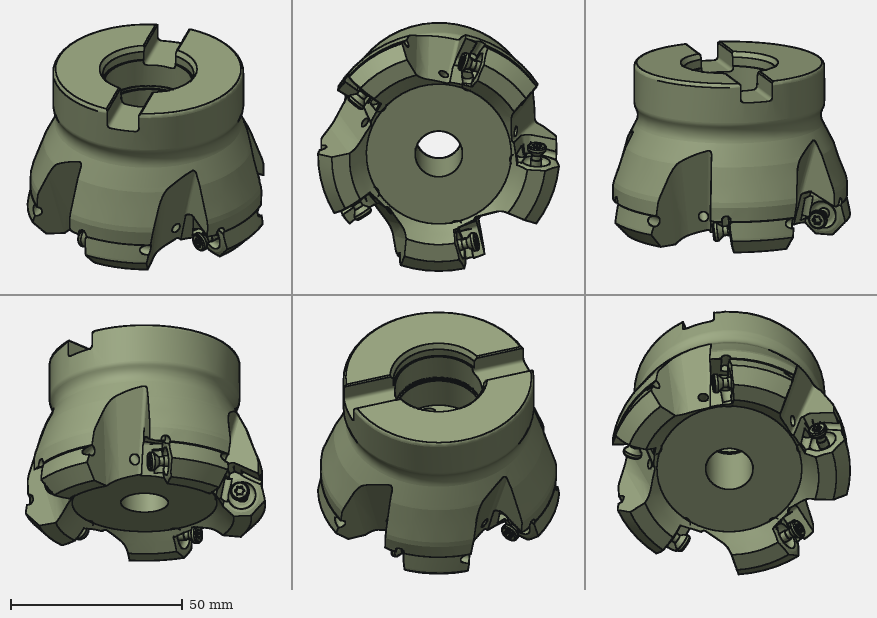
import cadquery as cq
import math

TEETH = 5
TOOTH_PITCH = 360 / TEETH
FIRST_TOOTH_ANGLE = 180

HEIGHT = 49.6
COLLAR_DIAMETER = 55.55
COLLAR_R = COLLAR_DIAMETER / 2
COLLAR_EDGE_R = 27.0
EDGE_ARC_SAG = 0.25
COLLAR_EDGE_HEIGHT = 1.1
COLLAR_EDGE_Z = HEIGHT - COLLAR_EDGE_HEIGHT
COLLAR_BOTTOM_Z = 37.95
COLLAR_FOOT_R = 27.45
COLLAR_FOOT_Z = 36.7
NECK_R = 26.75
NECK_Z = 34.35
SHOULDER_R = 27.25
SHOULDER_Z = 31.75
FLARE_TOP_R = 29.9
FLARE_TOP_Z = 26.5
FLARE_R = 30.5
FLARE_Z = 25.35
SKIRT_TOP_R = 34.0
SKIRT_TOP_Z = 15.55
SKIRT_R = 34.35
SKIRT_Z = 14.1
LEDGE_TOP_Z = 9.9
LEDGE_SIZE = 0.2
RIM_DIAMETER = 70.5
RIM_R = RIM_DIAMETER / 2
RIM_Z = 4.3
RIM_TOP_R = 35.1
RIM_TOP_Z = 5.1
FOOT_R = 31.2

BORE_MOUTH_R = 14.2
BORE_ENTRY_R = 13.2
BORE_ENTRY_CHAMFER = 1.5
BORE_ENTRY_DEPTH = 4.1
BORE_R = 12.75
LOWER_BORE_R = 12.45
BORE_FLOOR_Z = 26.05
GROOVE_R = 13.1
GROOVE_Z = 36.95
GROOVE_WIDTH = 1.0
BOLT_HOLE_R = 6.9
BOLT_HOLE_CHAMFER = 0.3
RECESS_MOUTH_R = 26.05
RECESS_ROOF_R = 21.1
RECESS_DEPTH = 4.9
SLOT_WIDTH = 9.6
SLOT_DEPTH = 5.7
SLOT_CORNER_R = 1.1
SLOT_EDGE_CHAMFER = 0.4

FLUTE_BOTTOM_Z = -0.7
FLUTE_TOP_Z = 31.7
RAKE_V = -5.1
RAKE_LEAN = 0.015
FLOOR_U = 19.7
FLOOR_LEAN = 0.27
ROUND_START_V = -11.2
ROUND_END_V = -15.4
ROUND_LEAN = -0.09
BACK_ANGLE = 38
BACK_LENGTH = 31.7
FLUTE_REACH = 49.3
RAKE_CORNER_R = 1.05

SEAT_U = 28.45
SEAT_V = 0.85
SEAT_Z = 6.05
SCREW_TILT = 7
OUTER_WALL = (61, 5.6)
TOP_WALL = (111, 7.75)
INNER_WALL = (168, 4.85)
LOWER_WALL = (216, 6.55)
POCKET_DEPTH = 7.4
POCKET_DRAFT = 14
POCKET_REACH = 15.5
OUTER_GROOVE_R = 1.35
OUTER_GROOVE_LENGTH = 12.7
OUTER_GROOVE_SHIFT = -3.2
OUTER_GROOVE_OFFSET = 0.85
INNER_GROOVE_R = 1.8
INNER_GROOVE_LENGTH = 7.05
INNER_GROOVE_SHIFT = -1.05
INNER_GROOVE_OFFSET = 0.6
GROOVE_HEIGHT = 0.55
SEAT_RIM_R = 5.15
SEAT_BEVEL_R = 9.85
SEAT_BEVEL_DEPTH = 1.1
DISH_R = 4.1
DISH_DEPTH = 1.55
DISH_FLOOR_R = 2.25
DISH_BULGE = 0.4

SCREW_R = 1.55
SCREW_LENGTH_IN_BODY = 7.05
SCREW_HOLE_LENGTH = 28.15
SCREW_NECK_R = 1.35
NECK_START = 0.7
NECK_END = 2.1
HEAD_R = 2.7
HEAD_CONE_END = 3.7
HEAD_RIM_END = 4.6
HEAD_FACE = 5.0
HEAD_FACE_R = 2.3
SOCKET_R = 1.05
SOCKET_LOBES = 6
SOCKET_LOBE_R = 0.35
SOCKET_DEPTH = 1.1

COOLANT_R = 1.4
COOLANT_START_R = 10.15
COOLANT_END = cq.Vector(22.0, -7.1, 8.65)
COOLANT_OVERRUN = 4.2


def turned_blank():
    """Outside of the cutter, revolved about Z."""
    edge_mid = (COLLAR_R - EDGE_ARC_SAG * (COLLAR_R - COLLAR_EDGE_R), (COLLAR_EDGE_Z + HEIGHT) / 2)
    foot_mid = (
        COLLAR_R - EDGE_ARC_SAG * (COLLAR_R - COLLAR_FOOT_R),
        (COLLAR_BOTTOM_Z + COLLAR_FOOT_Z) / 2,
    )
    lower_outline = [
        (0, 0),
        (FOOT_R, 0),
        (RIM_R, RIM_Z),
        (RIM_TOP_R, RIM_TOP_Z),
        (SKIRT_R - LEDGE_SIZE, LEDGE_TOP_Z - LEDGE_SIZE),
        (SKIRT_R, LEDGE_TOP_Z),
        (SKIRT_R, SKIRT_Z),
        (SKIRT_TOP_R, SKIRT_TOP_Z),
        (FLARE_R, FLARE_Z),
        (FLARE_TOP_R, FLARE_TOP_Z),
        (SHOULDER_R, SHOULDER_Z),
    ]
    return (
        cq.Workplane("XZ")
        .polyline(lower_outline)
        .threePointArc((NECK_R, NECK_Z), (COLLAR_FOOT_R, COLLAR_FOOT_Z))
        .threePointArc(foot_mid, (COLLAR_R, COLLAR_BOTTOM_Z))
        .lineTo(COLLAR_R, COLLAR_EDGE_Z)
        .threePointArc(edge_mid, (COLLAR_EDGE_R, HEIGHT))
        .lineTo(0, HEIGHT)
        .close()
        .revolve(360, (0, 0, 0), (0, 1, 0))
    )


def bore_and_recess():
    """Stepped bore from the top, bolt hole, and conical recess in the bottom."""
    entry_z = HEIGHT - BORE_ENTRY_DEPTH
    outline = [
        (0, 0),
        (RECESS_MOUTH_R, 0),
        (RECESS_ROOF_R, RECESS_DEPTH),
        (BOLT_HOLE_R, RECESS_DEPTH),
        (BOLT_HOLE_R, BORE_FLOOR_Z - BOLT_HOLE_CHAMFER),
        (BOLT_HOLE_R + BOLT_HOLE_CHAMFER, BORE_FLOOR_Z),
        (LOWER_BORE_R, BORE_FLOOR_Z),
        (LOWER_BORE_R, GROOVE_Z - GROOVE_WIDTH),
        (GROOVE_R, GROOVE_Z - GROOVE_WIDTH),
        (GROOVE_R, GROOVE_Z),
        (BORE_R, GROOVE_Z),
        (BORE_R, entry_z),
        (BORE_ENTRY_R, entry_z),
        (BORE_ENTRY_R, HEIGHT - BORE_ENTRY_CHAMFER),
        (BORE_MOUTH_R, HEIGHT),
        (0, HEIGHT),
    ]
    return cq.Workplane("XZ").polyline(outline).close().revolve(360, (0, 0, 0), (0, 1, 0))


def drive_slot():
    """Slot across the top along Y, with rounded floor corners and chamfered top edges."""
    length = 2 * COLLAR_DIAMETER
    slot = (
        cq.Workplane("XY")
        .box(SLOT_WIDTH, length, SLOT_DEPTH, centered=(True, True, False))
        .faces("<Z")
        .edges("|Y")
        .fillet(SLOT_CORNER_R)
        .translate((0, 0, HEIGHT - SLOT_DEPTH))
    )
    half_mouth = SLOT_WIDTH / 2 + SLOT_EDGE_CHAMFER
    mouth = (
        cq.Workplane("XZ")
        .polyline([(-half_mouth, HEIGHT), (half_mouth, HEIGHT), (0, HEIGHT - half_mouth)])
        .close()
        .extrude(length / 2, both=True)
    )
    return slot.union(mouth)


def flute_section(z):
    """Flute outline at height z as a closed wire in the tooth's frame."""
    rake_v = RAKE_V + RAKE_LEAN * z
    floor_u = FLOOR_U + FLOOR_LEAN * z
    start_v = ROUND_START_V + ROUND_LEAN * z
    end_v = ROUND_END_V + ROUND_LEAN * z
    turn = math.radians(BACK_ANGLE)
    round_r = (start_v - end_v) / math.sin(turn)
    round_end = (floor_u + round_r * (1 - math.cos(turn)), end_v)
    round_mid = (
        floor_u + round_r * (1 - math.cos(turn / 2)),
        start_v - round_r * math.sin(turn / 2),
    )
    back_end = (
        round_end[0] + BACK_LENGTH * math.sin(turn),
        round_end[1] - BACK_LENGTH * math.cos(turn),
    )
    corner_mid = RAKE_CORNER_R * (1 - math.sqrt(0.5))
    return (
        cq.Workplane("XY", origin=(0, 0, z))
        .moveTo(FLUTE_REACH, rake_v)
        .lineTo(floor_u + RAKE_CORNER_R, rake_v)
        .threePointArc(
            (floor_u + corner_mid, rake_v - corner_mid), (floor_u, rake_v - RAKE_CORNER_R)
        )
        .lineTo(floor_u, start_v)
        .threePointArc(round_mid, round_end)
        .lineTo(*back_end)
        .lineTo(FLUTE_REACH, back_end[1])
        .close()
        .wire()
        .val()
    )


def flute():
    """Chip flute, ruled between its outlines at the bottom and at the top."""
    sections = [flute_section(FLUTE_BOTTOM_Z), flute_section(FLUTE_TOP_Z)]
    return cq.Workplane(cq.Solid.makeLoft(sections, True))


seat_plane = cq.Plane(
    origin=(SEAT_U, SEAT_V, SEAT_Z),
    xDir=(1, 0, 0),
    normal=(0, -math.cos(math.radians(SCREW_TILT)), -math.sin(math.radians(SCREW_TILT))),
)


def wall_point(wall, along):
    """Point on the foot of a pocket wall, at a distance along it from its middle."""
    angle = math.radians(wall[0])
    return (
        wall[1] * math.cos(angle) - along * math.sin(angle),
        wall[1] * math.sin(angle) + along * math.cos(angle),
    )


def wall_corner(wall, next_wall):
    """Point where the feet of two pocket walls meet."""
    turn = math.radians(next_wall[0] - wall[0])
    return wall_point(wall, (next_wall[1] - wall[1] * math.cos(turn)) / math.sin(turn))


def pocket_outline():
    """Foot of the pocket walls on the seat, open outward and downward."""
    outer_end = wall_point(OUTER_WALL, -POCKET_REACH)
    lower_end = wall_point(LOWER_WALL, POCKET_REACH)
    corners = [
        outer_end,
        wall_corner(OUTER_WALL, TOP_WALL),
        wall_corner(TOP_WALL, INNER_WALL),
        wall_corner(INNER_WALL, LOWER_WALL),
        lower_end,
        (outer_end[0], lower_end[1]),
    ]
    return cq.Workplane("XY").polyline(corners).close()


def relief_groove(radius, length, shift, wall, offset):
    """Round groove along the foot of a pocket wall, set back from the wall by offset."""
    groove = cq.Workplane("XZ").circle(radius).extrude(length / 2, both=True)
    groove = groove.translate((wall[1] + offset, shift, GROOVE_HEIGHT))
    return groove.rotate((0, 0, 0), (0, 0, 1), wall[0])


def seat_bevel():
    """Conical fall of the seat outside its round rim, kept inside the pocket walls."""
    cone = (
        cq.Workplane("XZ")
        .polyline([(SEAT_RIM_R, 0), (SEAT_BEVEL_R, 0), (SEAT_BEVEL_R, -SEAT_BEVEL_DEPTH)])
        .close()
        .revolve(360, (0, 0, 0), (0, 1, 0))
    )
    return cone.intersect(pocket_outline().extrude(-SEAT_BEVEL_DEPTH))


def seat_dish():
    """Round-sided dish in the seat around the screw."""
    dish_mid = ((DISH_R + DISH_FLOOR_R) / 2 + DISH_BULGE, -DISH_DEPTH / 2 - DISH_BULGE)
    return (
        cq.Workplane("XZ")
        .lineTo(DISH_R, 0)
        .threePointArc(dish_mid, (DISH_FLOOR_R, -DISH_DEPTH))
        .lineTo(0, -DISH_DEPTH)
        .close()
        .revolve(360, (0, 0, 0), (0, 1, 0))
    )


def insert_pocket():
    """Drafted insert pocket with its grooves, bevelled and dished seat, and screw hole."""
    outer_groove = relief_groove(
        OUTER_GROOVE_R, OUTER_GROOVE_LENGTH, OUTER_GROOVE_SHIFT, OUTER_WALL, OUTER_GROOVE_OFFSET
    )
    inner_groove = relief_groove(
        INNER_GROOVE_R, INNER_GROOVE_LENGTH, INNER_GROOVE_SHIFT, INNER_WALL, INNER_GROOVE_OFFSET
    )
    pocket = (
        pocket_outline()
        .extrude(POCKET_DEPTH, taper=-POCKET_DRAFT)
        .union(outer_groove)
        .union(inner_groove)
        .union(seat_bevel())
        .union(seat_dish())
        .union(cq.Workplane("XY").circle(SCREW_R).extrude(-SCREW_HOLE_LENGTH))
    )
    return cq.Workplane(pocket.val().moved(seat_plane.location))


def coolant_hole():
    """Slanting hole from the bore floor, one tooth pitch back, to this tooth's flute floor."""
    start_angle = math.radians(-TOOTH_PITCH)
    start = cq.Vector(
        COOLANT_START_R * math.cos(start_angle),
        COOLANT_START_R * math.sin(start_angle),
        BORE_FLOOR_Z,
    )
    run = COOLANT_END - start
    way = run.normalized()
    length = run.Length + 2 * COOLANT_OVERRUN
    return cq.Workplane(cq.Solid.makeCylinder(COOLANT_R, length, start - way * COOLANT_OVERRUN, way))


def screw():
    """Insert screw: shank in the body, thin neck, countersunk head with a six-lobe socket."""
    outline = [
        (0, -SCREW_LENGTH_IN_BODY),
        (SCREW_R, -SCREW_LENGTH_IN_BODY),
        (SCREW_R, NECK_START),
        (SCREW_NECK_R, NECK_START),
        (SCREW_NECK_R, NECK_END),
        (HEAD_R, HEAD_CONE_END),
        (HEAD_R, HEAD_RIM_END),
        (HEAD_FACE_R, HEAD_FACE),
        (0, HEAD_FACE),
    ]
    shape = cq.Workplane("XZ").polyline(outline).close().revolve(360, (0, 0, 0), (0, 1, 0))
    socket_floor = cq.Workplane("XY", origin=(0, 0, HEAD_FACE - SOCKET_DEPTH))
    socket = socket_floor.circle(SOCKET_R).extrude(SOCKET_DEPTH)
    lobes = socket_floor.polarArray(SOCKET_R, 0, 360, SOCKET_LOBES)
    socket = socket.union(lobes.circle(SOCKET_LOBE_R).extrude(SOCKET_DEPTH))
    return cq.Workplane(shape.cut(socket).val().moved(seat_plane.location))


def at_tooth(shape, tooth):
    """Turn a shape from the tooth frame to the given tooth's place."""
    return shape.rotate((0, 0, 0), (0, 0, 1), FIRST_TOOTH_ANGLE + tooth * TOOTH_PITCH)


cutter_body = turned_blank().cut(bore_and_recess()).cut(drive_slot())
for cutting_feature in (flute(), insert_pocket(), coolant_hole()):
    for tooth in range(TEETH):
        cutter_body = cutter_body.cut(at_tooth(cutting_feature, tooth))

insert_screw = screw()
screws = [at_tooth(insert_screw, tooth).val() for tooth in range(TEETH)]

result = cq.Compound.makeCompound([cutter_body.val(), *screws])